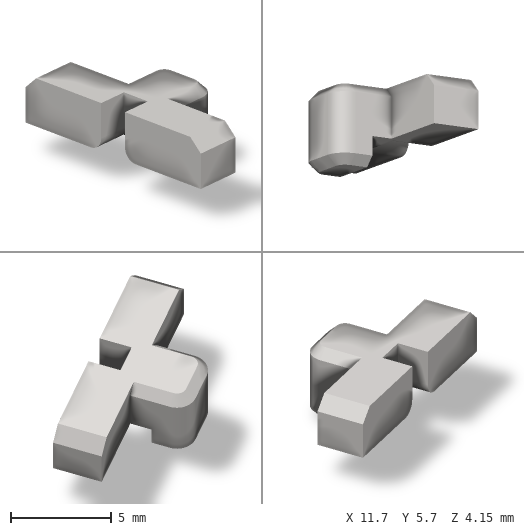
import cadquery as cq

length = 11.72
depth = 5.7
height = 4.15

bar_depth = 2.59
bar_height = 2.65
bar_chamfer = 0.7

tongue_width = 3.56
tongue_corner_radius = 1.0
tongue_chamfer = 0.5
lip_depth = 1.99
lip_drop = height - bar_height

slot_width = 1.59
slot_depth = 1.7
slot_fillet = 0.7


def box(width, y_start, y_end, z_start, z_end):
    """Box centred on X = 0 between the given Y and Z limits."""
    block = cq.Workplane("XY").box(
        width, y_end - y_start, z_end - z_start, centered=(True, False, False)
    )
    return block.translate((0, y_start, z_start))


def make_bar():
    """Cross bar with chamfered upper ends and a slot flared at its lower rim."""
    bar = box(length, 0, bar_depth, 0, bar_height)
    bar = bar.edges(">Z and (<X or >X)").chamfer(bar_chamfer)
    bar = bar.cut(box(slot_width, 0, slot_depth, 0, bar_height))
    margin = slot_fillet / 2
    slot_rim = cq.selectors.BoxSelector(
        (-slot_width / 2 - margin, margin, -margin),
        (slot_width / 2 + margin, slot_depth + margin, margin),
    )
    return bar.faces("<Z").edges(slot_rim).fillet(slot_fillet)


def make_tongue():
    """Tongue with a rounded, chamfered rear end and an undercut in front of the lip."""
    start = bar_depth
    tongue = box(tongue_width, start, depth, -lip_drop, bar_height)
    tongue = tongue.edges("|Z and >Y").fillet(tongue_corner_radius)
    tongue = tongue.faces("<Z or >Z").edges("not <Y").chamfer(tongue_chamfer)
    undercut = box(tongue_width, start, depth - lip_depth, -lip_drop, 0)
    return tongue.cut(undercut)


result = make_bar().union(make_tongue())